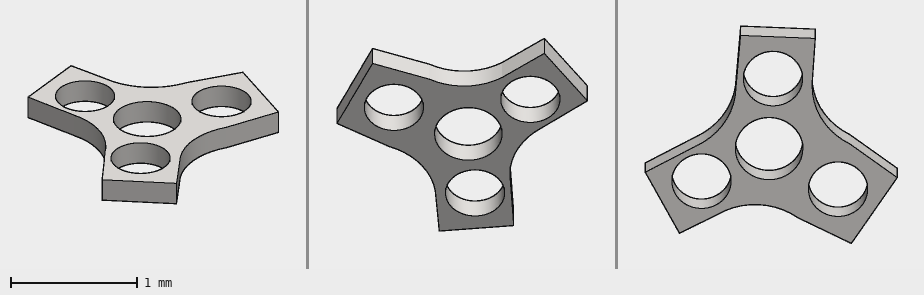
import cadquery as cq

span = 2.0
thickness = 0.19
top_edge = 0.992
bottom_edge = top_edge - 1.71

top_corner = (0.338, top_edge)
upper_fillet_start = (0.38, 0.515)
upper_fillet_middle = (0.445, 0.205)
upper_fillet_end = (0.635, -0.002)
outer_corner = (span / 2, -0.205)
bottom_corner = (0.702, bottom_edge)
lower_fillet_end = (0.3, -0.505)
lower_fillet_middle = (0.0, -0.42)

center_hole_diameter = 0.535
arm_hole_diameter = 0.47
top_hole_position = (0.0, 0.65)
side_hole_position = (0.525, -0.3)


def mirrored(point):
    """Return the matching point on the left half."""
    return (-point[0], point[1])


def make_plate():
    """Three-armed plate with concave arcs between the arms."""
    return (
        cq.Workplane("XY")
        .moveTo(*top_corner)
        .lineTo(*upper_fillet_start)
        .threePointArc(upper_fillet_middle, upper_fillet_end)
        .lineTo(*outer_corner)
        .lineTo(*bottom_corner)
        .lineTo(*lower_fillet_end)
        .threePointArc(lower_fillet_middle, mirrored(lower_fillet_end))
        .lineTo(*mirrored(bottom_corner))
        .lineTo(*mirrored(outer_corner))
        .lineTo(*mirrored(upper_fillet_end))
        .threePointArc(mirrored(upper_fillet_middle), mirrored(upper_fillet_start))
        .lineTo(*mirrored(top_corner))
        .close()
        .extrude(thickness)
    )


def make_holes():
    """Cylinders for the middle hole and the hole in each arm."""
    arm_holes = [top_hole_position, side_hole_position, mirrored(side_hole_position)]
    center = cq.Workplane("XY").circle(center_hole_diameter / 2).extrude(thickness)
    arms = (
        cq.Workplane("XY")
        .pushPoints(arm_holes)
        .circle(arm_hole_diameter / 2)
        .extrude(thickness)
    )
    return center.union(arms)


result = make_plate().cut(make_holes())